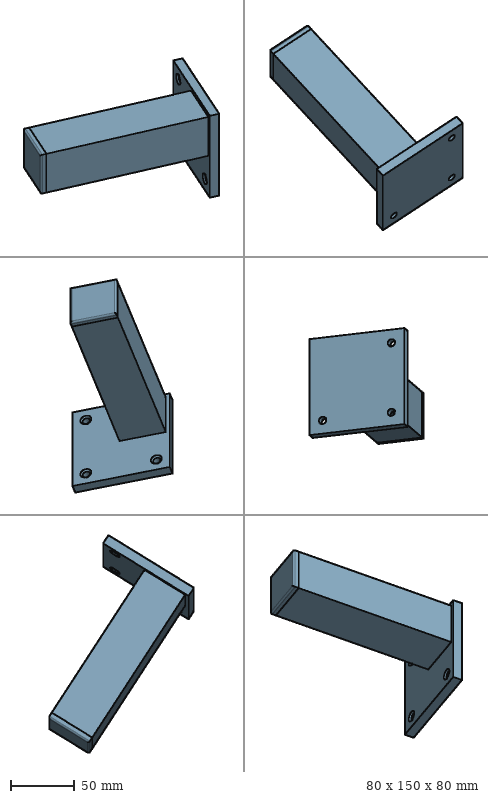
import cadquery as cq

total_length = 150.0
plate_side = 80.0
plate_thickness = 8.0

leg_side = 38.0
leg_edge_gap = 3.3
leg_center = plate_side / 2 - leg_edge_gap - leg_side / 2

cap_thickness = 5.0
cap_fillet = 1.5

hole_diameter = 6.0
countersink_diameter = 9.0
countersink_angle = 90
hole_offset = 29.0
hole_points = [
    (-hole_offset, hole_offset),
    (-hole_offset, -hole_offset),
    (hole_offset, -hole_offset),
]

plate_front = -plate_thickness
cap_seam = -total_length + cap_thickness


def square_bar(side, center, start_y, length):
    """Square bar running from start_y towards -Y, centred at X = Z = center."""
    return (
        cq.Workplane("XZ", origin=(center, start_y, center))
        .rect(side, side)
        .extrude(length)
    )


def make_bracket():
    """Mounting plate and leg in one piece."""
    plate = square_bar(plate_side, 0, 0, plate_thickness)
    plate = (
        plate.faces("<Y")
        .workplane(origin=(0, plate_front, 0))
        .pushPoints(hole_points)
        .cskHole(hole_diameter, countersink_diameter, countersink_angle)
    )
    leg = square_bar(leg_side, leg_center, plate_front, plate_front - cap_seam)
    return plate.union(leg)


def make_end_cap():
    """Flat cap with rounded edges around its outer face."""
    cap = square_bar(leg_side, leg_center, cap_seam, cap_thickness)
    return cap.faces("<Y").edges().fillet(cap_fillet)


bracket = make_bracket()
end_cap = make_end_cap()

result = cq.Compound.makeCompound([bracket.val(), end_cap.val()])